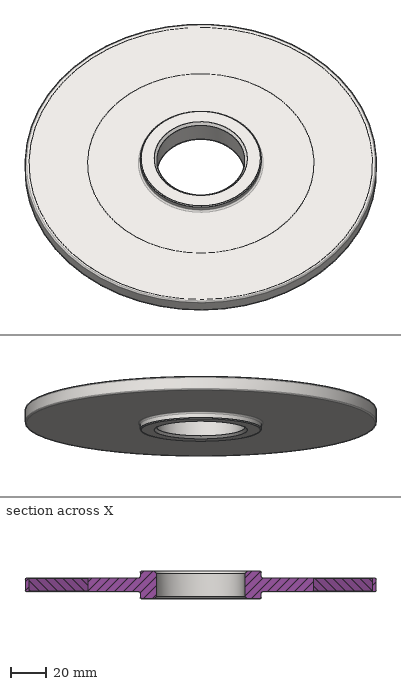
import cadquery as cq

disc_diameter = 200.0
disc_thickness = 8.0
rim_fillet = 0.8

hub_diameter = 69.0
hub_length = 16.0
hub_bore = 50.0
hub_outer_chamfer = 0.5
hub_bore_chamfer = 1.5
hub_root_fillet = 1.0

insert_outer_diameter = 195.5
insert_inner_diameter = 128.8
skin_thickness = 0.5
insert_thickness = disc_thickness - 2 * skin_thickness


def centered_cylinder(diameter, length):
    """Solid cylinder about the Z axis, centred on the XY plane."""
    return cq.Workplane("XY").workplane(offset=-length / 2).circle(diameter / 2).extrude(length)


def make_insert():
    """Flat ring that fills the closed cavity inside the disc."""
    outer = centered_cylinder(insert_outer_diameter, insert_thickness)
    return outer.cut(centered_cylinder(insert_inner_diameter, insert_thickness))


def make_wheel():
    """Disc and hub in one piece, with a bore through it and a closed cavity for the insert."""
    disc = centered_cylinder(disc_diameter, disc_thickness)
    disc = disc.faces("|Z").edges().fillet(rim_fillet)
    hub = centered_cylinder(hub_diameter, hub_length)
    hub = hub.faces("|Z").edges().chamfer(hub_outer_chamfer)
    wheel = disc.union(hub)

    half_box = (hub_diameter + disc_diameter) / 4
    root_height = disc_thickness / 2 + hub_root_fillet
    root_edges = cq.selectors.BoxSelector(
        (-half_box, -half_box, -root_height), (half_box, half_box, root_height), boundingbox=True
    )
    wheel = wheel.edges("%CIRCLE").edges(root_edges).fillet(hub_root_fillet)

    wheel = wheel.cut(centered_cylinder(hub_bore, hub_length))
    bore_edges = cq.selectors.RadiusNthSelector(0)
    wheel = wheel.faces("<Z or >Z").edges(bore_edges).chamfer(hub_bore_chamfer)
    return wheel.cut(make_insert())


wheel = make_wheel()
insert = make_insert()

result = cq.Compound.makeCompound([wheel.val(), insert.val()])